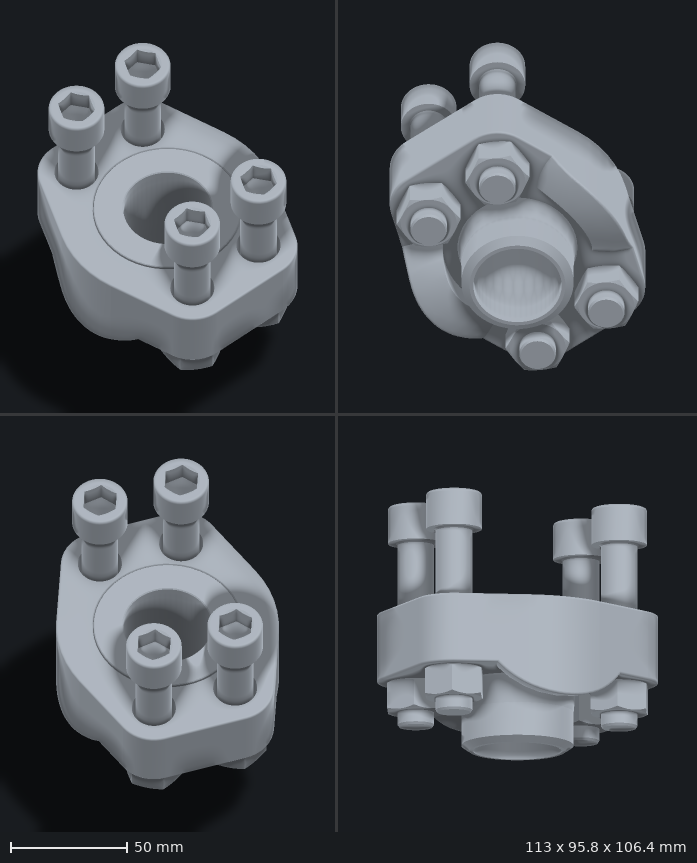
import cadquery as cq
import math

flange_length = 113.0
flange_width = 95.8
flange_height = 30.1
edge_round = 1.0
recess_diameter = 64.3
recess_depth = 15.0
recess_chamfer = 0.5
neck_hole_diameter = 51.5

bolt_pitch_x = 79.4
bolt_pitch_y = 36.5
bolt_hole_diameter = 19.0

keel_depth = 13.0
keel_radius = 42.4
keel_pocket_diameter = 64.3

nipple_top = 30.5
nipple_bottom = -29.4
head_diameter = 63.5
head_chamfer = 0.3
neck_diameter = 50.6
pipe_diameter = 48.3
taper_top = -0.7
taper_bottom = -12.7
weld_bevel_width = 3.5
weld_bevel_height = 2.4
bore_diameter = 38.1
pipe_bore_diameter = 38.0
bore_step_depth = 22.3
bore_chamfer = 0.5

bolt_tip = -19.2
bolt_head_base = 61.0
bolt_head_height = 16.0
bolt_head_diameter = 24.0
bolt_head_round = 1.4
shank_diameter = 15.7
underhead_diameter = 17.0
underhead_height = 0.7
tip_diameter = 14.4
tip_height = 1.0
socket_width = 14.0
socket_depth = 9.0
socket_turn = 39.0
socket_floor_slope = 30.0

nut_width = 24.0
nut_height = 13.0
nut_chamfer_slope = 30.0

side_radius = flange_width / 2
bolt_x = bolt_pitch_x / 2
bolt_y = bolt_pitch_y / 2
corner_radius = flange_length / 2 - bolt_x
bolt_places = [(sx * bolt_x, sy * bolt_y) for sx in (-1, 1) for sy in (-1, 1)]


def across_corners(width):
    """Corner-to-corner size of a hexagon given across its flats."""
    return width / math.cos(math.pi / 6)


def turned(half_section):
    """Solid turned about Z from half-section points given as (radius, height)."""
    return cq.Workplane("XZ").polyline(half_section).close().revolve(360, (0, 0), (0, 1))


def flange_outline(plane):
    """Six-sided outline: arcs around the axis and around each bolt, joined by common tangents."""
    bolt_distance = math.hypot(bolt_x, bolt_y)
    normal = math.atan2(bolt_y, bolt_x) + math.acos((side_radius - corner_radius) / bolt_distance)
    middle = normal / 2
    side_x = side_radius * math.cos(normal)
    side_y = side_radius * math.sin(normal)
    corner_x = bolt_x + corner_radius * math.cos(normal)
    corner_y = bolt_y + corner_radius * math.sin(normal)
    middle_x = bolt_x + corner_radius * math.cos(middle)
    middle_y = bolt_y + corner_radius * math.sin(middle)
    end_x = flange_length / 2
    return (
        plane.moveTo(end_x, -bolt_y)
        .lineTo(end_x, bolt_y)
        .threePointArc((middle_x, middle_y), (corner_x, corner_y))
        .lineTo(side_x, side_y)
        .threePointArc((0, side_radius), (-side_x, side_y))
        .lineTo(-corner_x, corner_y)
        .threePointArc((-middle_x, middle_y), (-end_x, bolt_y))
        .lineTo(-end_x, -bolt_y)
        .threePointArc((-middle_x, -middle_y), (-corner_x, -corner_y))
        .lineTo(-side_x, -side_y)
        .threePointArc((0, -side_radius), (side_x, -side_y))
        .lineTo(corner_x, -corner_y)
        .threePointArc((middle_x, -middle_y), (end_x, -bolt_y))
        .close()
    )


def make_keel_ball(side):
    """Ball, turned about an axis along X, whose lowest point lies below the middle of one flange side."""
    r = keel_radius
    return (
        cq.Workplane("XZ")
        .moveTo(-r, 0)
        .threePointArc((0, -r), (r, 0))
        .close()
        .revolve(360, (-r, 0), (r, 0))
        .translate((0, side * side_radius, r - keel_depth))
    )


def lower_outline_edges():
    """Selector for the edges where the outer walls meet the underside, keels included."""
    reach = flange_length
    underside = cq.selectors.BoxSelector((-reach, -reach, -reach), (reach, reach, edge_round))
    inner_y = side_radius - keel_radius / 2
    keel_roots = cq.selectors.BoxSelector(
        (-keel_radius, -inner_y, -edge_round), (keel_radius, inner_y, edge_round)
    )
    return underside - keel_roots


def make_recess():
    """Cutter for the nipple-head seat, with a chamfered mouth."""
    recess_r = recess_diameter / 2
    return turned([
        (0, flange_height),
        (recess_r + recess_chamfer, flange_height),
        (recess_r, flange_height - recess_chamfer),
        (recess_r, flange_height - recess_depth),
        (0, flange_height - recess_depth),
    ])


def make_flange():
    body = flange_outline(cq.Workplane("XY")).extrude(flange_height)
    keel_stock = flange_outline(cq.Workplane("XY").workplane(offset=-2 * keel_depth)).extrude(3 * keel_depth)
    for side in (-1, 1):
        body = body.union(keel_stock.intersect(make_keel_ball(side)))
    body = body.faces(">Z").edges().fillet(edge_round)
    body = body.edges(lower_outline_edges()).fillet(edge_round)
    pocket = cq.Workplane("XY").circle(keel_pocket_diameter / 2).extrude(-2 * keel_depth)
    neck_hole = cq.Workplane("XY").circle(neck_hole_diameter / 2).extrude(flange_height)
    bolt_hole_radius = bolt_hole_diameter / 2
    bolt_holes = cq.Workplane("XY").pushPoints(bolt_places).circle(bolt_hole_radius).extrude(flange_height)
    return body.cut(pocket).cut(make_recess()).cut(neck_hole).cut(bolt_holes)


def make_nipple():
    head_base = flange_height - recess_depth
    bore_step = nipple_top - bore_step_depth
    head_r = head_diameter / 2
    neck_r = neck_diameter / 2
    pipe_r = pipe_diameter / 2
    bore_r = bore_diameter / 2
    pipe_bore_r = pipe_bore_diameter / 2
    half_section = [
        (bore_r + bore_chamfer, nipple_top),
        (head_r - head_chamfer, nipple_top),
        (head_r, nipple_top - head_chamfer),
        (head_r, head_base),
        (neck_r, head_base),
        (neck_r, taper_top),
        (pipe_r, taper_bottom),
        (pipe_r, nipple_bottom + weld_bevel_height),
        (pipe_r - weld_bevel_width, nipple_bottom),
        (pipe_bore_r, nipple_bottom),
        (pipe_bore_r, taper_bottom),
        (bore_r, bore_step),
        (bore_r, nipple_top - bore_chamfer),
    ]
    return turned(half_section)


def make_bolt():
    head_r = bolt_head_diameter / 2
    shank_r = shank_diameter / 2
    head_top = bolt_head_base + bolt_head_height
    half_section = [
        (0, bolt_tip),
        (tip_diameter / 2, bolt_tip),
        (shank_r, bolt_tip + tip_height),
        (shank_r, bolt_head_base - underhead_height),
        (underhead_diameter / 2, bolt_head_base),
        (head_r, bolt_head_base),
        (head_r, head_top),
        (0, head_top),
    ]
    bolt = turned(half_section)
    bolt = bolt.faces(">Z").edges().fillet(bolt_head_round)
    socket = (
        cq.Workplane("XY")
        .workplane(offset=head_top)
        .transformed(rotate=(0, 0, socket_turn))
        .polygon(6, across_corners(socket_width))
        .extrude(-socket_depth)
    )
    floor_r = socket_width / 2
    mouth_r = across_corners(socket_width) / 2
    slope = math.tan(math.radians(socket_floor_slope))
    floor_z = head_top - socket_depth
    floor_cone = turned([(0, floor_z), (floor_r, floor_z), (0, floor_z - floor_r * slope)])
    mouth_cone = turned([(0, head_top), (mouth_r, head_top), (0, head_top - mouth_r * slope)])
    return bolt.cut(socket).cut(floor_cone).cut(mouth_cone)


def make_nut():
    corner_r = across_corners(nut_width) / 2
    flat_r = nut_width / 2
    chamfer_height = (corner_r - flat_r) * math.tan(math.radians(nut_chamfer_slope))
    prism = cq.Workplane("XY").polygon(6, across_corners(nut_width)).extrude(-nut_height)
    envelope = turned([
        (0, 0),
        (flat_r, 0),
        (corner_r, -chamfer_height),
        (corner_r, chamfer_height - nut_height),
        (flat_r, -nut_height),
        (0, -nut_height),
    ])
    thread_hole = cq.Workplane("XY").circle(shank_diameter / 2).extrude(-nut_height)
    return prism.intersect(envelope).cut(thread_hole)


flange = make_flange()
nipple = make_nipple()
bolts = [make_bolt().translate((x, y, 0)) for x, y in bolt_places]
nuts = [make_nut().translate((x, y, 0)) for x, y in bolt_places]

result = cq.Compound.makeCompound(
    [flange.val(), nipple.val()] + [bolt.val() for bolt in bolts] + [nut.val() for nut in nuts]
)